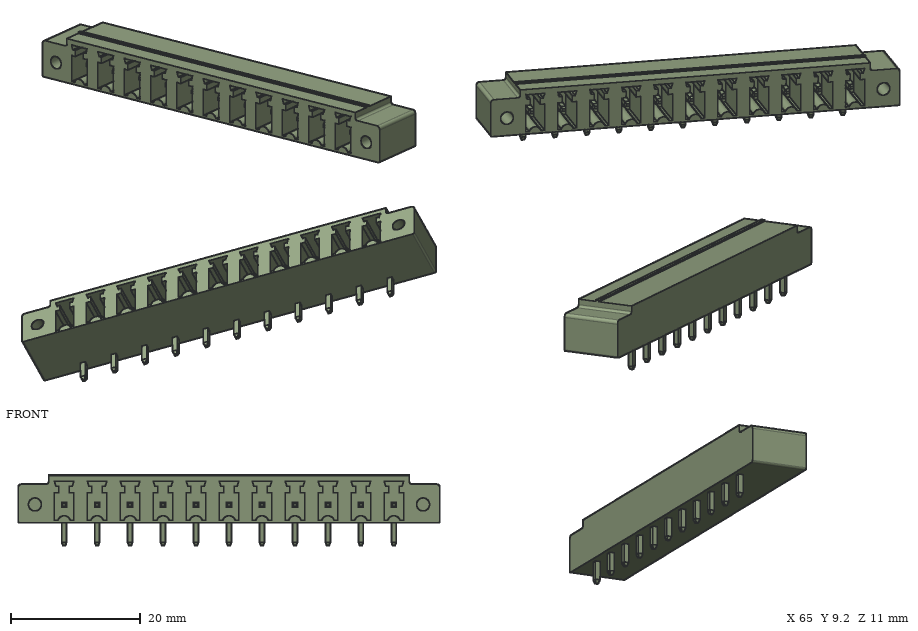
import cadquery as cq

length = 65.0
depth = 9.2
body_height = 7.25
flange_height = 6.0
flange_length = 4.7
flange_edge_radius = 0.55
step_root_radius = 0.4
bottom_edge_radius = 0.3

rib_height = 0.2
rib_width = 0.6
rib_front_offset = 2.95

contact_count = 11
pitch = 5.08
pin_size = 0.8
pin_drop = 3.5
pin_axis_z = 2.8
pin_back_offset = 1.2
pin_nose_offset = 2.0
pin_tip_length = 0.55
pin_tip_inset = 0.2

pocket_depth = 7.0
pocket_width = 3.0
pocket_floor = 0.4
pocket_shoulder = 4.65
neck_width = 1.6
neck_top = 5.65
dovetail_base_width = 2.5
dovetail_top = 6.4
hump_radius = 1.0
hump_apex = 1.1

screw_hole_diameter = 2.0
screw_hole_depth = 7.0
screw_axis_inset = 2.6
screw_axis_z = 2.85

x_end = length / 2
x_step = x_end - flange_length
y_front = -depth / 2
y_back = depth / 2
pin_axis_y = y_back - pin_back_offset
contact_xs = [(i - (contact_count - 1) / 2) * pitch for i in range(contact_count)]


def front_plane(y):
    """Upright sketch plane at y; positive extrusion runs toward the back."""
    return cq.Workplane(cq.Plane(origin=(0, y, 0), xDir=(-1, 0, 0), normal=(0, 1, 0)))


def make_housing():
    """Stepped bar: a raised middle between two lower flanges, blended at the step."""
    outline = (
        front_plane(y_front)
        .moveTo(-x_end, 0)
        .lineTo(x_end, 0)
        .lineTo(x_end, flange_height)
        .lineTo(x_step, flange_height)
        .lineTo(x_step, body_height)
        .lineTo(-x_step, body_height)
        .lineTo(-x_step, flange_height)
        .lineTo(-x_end, flange_height)
        .close()
    )
    housing = outline.extrude(depth)
    for side in ("<X", ">X"):
        housing = housing.faces(side).edges("|Y").edges(">Z").fillet(flange_edge_radius)
        housing = housing.faces(side).edges("|Y").edges("<Z").fillet(bottom_edge_radius)
    for x in (-x_step, x_step):
        step_root = cq.selectors.NearestToPointSelector((x, 0, flange_height))
        housing = housing.edges("|Y").edges(step_root).fillet(step_root_radius)
    return housing


def make_pocket():
    """Plug opening: wide below, dovetail key slot above, rounded hump along the floor."""
    half_width = pocket_width / 2
    half_neck = neck_width / 2
    half_base = dovetail_base_width / 2
    one_side = [
        (half_width, pocket_floor),
        (half_width, pocket_shoulder),
        (half_neck, pocket_shoulder),
        (half_neck, neck_top),
        (half_base, neck_top),
        (half_width, dovetail_top),
    ]
    other_side = [(-x, z) for x, z in reversed(one_side)]
    pocket = front_plane(y_front).polyline(one_side + other_side).close().extrude(pocket_depth)
    hump = (
        front_plane(y_front)
        .center(0, hump_apex - hump_radius)
        .circle(hump_radius)
        .extrude(pocket_depth)
    )
    return pocket.cut(hump)


def make_rib():
    """Thin rib running the length of the raised middle."""
    return (
        cq.Workplane("XY", origin=(0, y_front + rib_front_offset, body_height))
        .box(2 * x_step, rib_width, rib_height, centered=(True, False, False))
    )


def make_tip(plane):
    """Tapered pin end, growing from the full section along the plane's normal."""
    end_size = pin_size - 2 * pin_tip_inset
    return (
        cq.Workplane(plane)
        .rect(pin_size, pin_size)
        .workplane(offset=pin_tip_length)
        .rect(end_size, end_size)
        .loft(combine=True)
    )


def make_pin():
    """Right-angle square pin: a solder leg pointing down and a contact pointing forward."""
    leg_bottom = pin_tip_length - pin_drop
    leg_height = pin_axis_z + pin_size / 2 - leg_bottom
    leg = (
        cq.Workplane("XY", origin=(0, pin_axis_y, leg_bottom))
        .box(pin_size, pin_size, leg_height, centered=(True, True, False))
    )
    leg_tip = make_tip(cq.Plane(origin=(0, pin_axis_y, leg_bottom), xDir=(1, 0, 0), normal=(0, 0, -1)))

    contact_front = y_front + pin_nose_offset + pin_tip_length
    contact = (
        cq.Workplane("XY", origin=(0, contact_front, pin_axis_z))
        .box(pin_size, pin_axis_y - contact_front, pin_size, centered=(True, False, True))
    )
    nose = make_tip(cq.Plane(origin=(0, contact_front, pin_axis_z), xDir=(1, 0, 0), normal=(0, -1, 0)))
    return leg.union(leg_tip).union(contact).union(nose)


def make_screw_hole():
    """Blind screw hole entering from the front face."""
    return (
        front_plane(y_front)
        .center(0, screw_axis_z)
        .circle(screw_hole_diameter / 2)
        .extrude(screw_hole_depth)
    )


def make_part():
    part = make_housing().union(make_rib())

    screw_hole = make_screw_hole()
    screw_x = x_end - screw_axis_inset
    for x in (-screw_x, screw_x):
        part = part.cut(screw_hole.translate((x, 0, 0)))

    pocket = make_pocket()
    pin = make_pin()
    for x in contact_xs:
        part = part.cut(pocket.translate((x, 0, 0)))
        part = part.union(pin.translate((x, 0, 0)))
    return part


result = make_part()